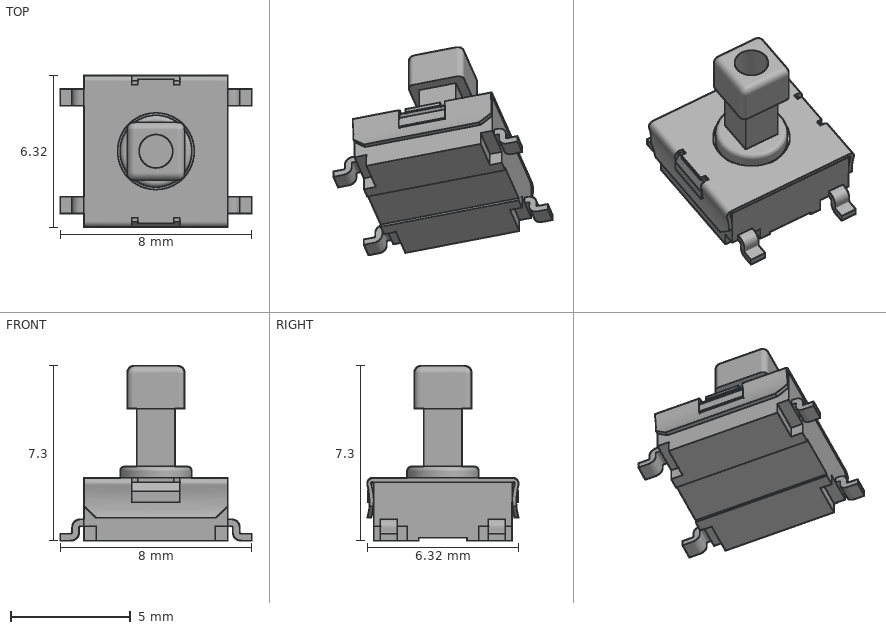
import cadquery as cq
import math


housing_length = 6.0
housing_half_width = 2.89
housing_top = 2.45
corner_notch_length = 0.52
corner_notch_width = 1.4
corner_notch_height = 0.6
channel_width = 2.0
channel_depth = 0.12

tab_width = 2.0
tab_reach = 3.14
tab_bottom = 1.6
tab_slope_start = 2.93
tab_slope_bottom = 2.06

cover_thickness = 0.17
cover_top = housing_top + cover_thickness
cover_hole_diameter = 3.2
bend_radius = 0.24
bend_center_y = 2.922
bend_center_z = cover_top - bend_radius
cover_reach = bend_center_y + bend_radius
waist_y = housing_half_width + cover_thickness
waist_z = 1.65
skirt_bottom = 0.96
skirt_corner_length = 0.5
skirt_corner_height = 0.48
window_start = 2.775
tongue_width = 1.5
tongue_end = 3.0

flange_diameter = 3.0
flange_top = 3.1
flange_fillet = 0.2
stem_width = 1.6
cap_width = 2.4
cap_bottom = 5.51
cap_top = 7.3
cap_side_fillet = 0.25
cap_top_fillet = 0.3
cap_hole_diameter = 1.4

lead_span = 8.0
lead_pitch = 4.5
lead_width = 0.71
lead_thickness = 0.3
lead_inner_radius = 0.05
lead_outer_radius = lead_inner_radius + lead_thickness
lead_riser_outer = 3.5
lead_riser_inner = lead_riser_outer - lead_thickness
lead_bottom = corner_notch_height
lead_top = lead_bottom + lead_thickness


def block(x_size, y_range, z_range):
    """Box centred on X = 0 that spans the given Y and Z ranges."""
    y_low, y_high = y_range
    z_low, z_high = z_range
    return (
        cq.Workplane("XY", origin=(0, (y_low + y_high) / 2, z_low))
        .box(x_size, y_high - y_low, z_high - z_low, centered=(True, True, False))
    )


def both_sides(shape):
    """The shape on the +Y side together with its mirror image on the -Y side."""
    return shape.union(shape.mirror("XZ"))


def extrude_along_x(profile, length):
    """Extrude a YZ profile symmetrically about X = 0."""
    return profile.extrude(length / 2, both=True)


def make_housing():
    body = block(housing_length, (-housing_half_width, housing_half_width), (0, housing_top))

    notches = (
        cq.Workplane("XY")
        .rect(housing_length, 2 * housing_half_width, forConstruction=True)
        .vertices()
        .rect(2 * corner_notch_length, 2 * corner_notch_width)
        .extrude(corner_notch_height)
    )
    channel = block(housing_length, (-channel_width / 2, channel_width / 2), (0, channel_depth))

    tab_profile = (
        cq.Workplane("YZ")
        .moveTo(window_start, housing_top)
        .lineTo(tab_slope_start, housing_top)
        .lineTo(tab_reach, tab_slope_bottom)
        .lineTo(tab_reach, tab_bottom)
        .lineTo(window_start, tab_bottom)
        .close()
    )
    tabs = both_sides(extrude_along_x(tab_profile, tab_width))
    return body.cut(notches).cut(channel).union(tabs)


def make_cover_half():
    """The +Y half of the bent sheet: flat top, bend, then a skirt bowed in to touch the housing."""
    drop = bend_center_z - waist_z
    offset = waist_y - bend_center_y
    bow_radius = (drop**2 + offset**2 - bend_radius**2) / (2 * (bend_radius - offset))
    bow_center_y = waist_y + bow_radius
    tangent_angle = math.asin(drop / (bow_radius + bend_radius))
    bottom_drop = waist_z - skirt_bottom

    def on_bend(radius, angle):
        return (bend_center_y + radius * math.cos(angle), bend_center_z + radius * math.sin(angle))

    def bow_bottom(radius):
        return (bow_center_y - math.sqrt(radius**2 - bottom_drop**2), skirt_bottom)

    bend_middle = (math.pi / 2 - tangent_angle) / 2
    inner_bend_radius = bend_radius - cover_thickness
    inner_bow_radius = bow_radius + cover_thickness

    profile = (
        cq.Workplane("YZ")
        .moveTo(0, cover_top)
        .lineTo(bend_center_y, cover_top)
        .threePointArc(on_bend(bend_radius, bend_middle), on_bend(bend_radius, -tangent_angle))
        .threePointArc((waist_y, waist_z), bow_bottom(bow_radius))
        .lineTo(*bow_bottom(inner_bow_radius))
        .threePointArc((housing_half_width, waist_z), on_bend(inner_bend_radius, -tangent_angle))
        .threePointArc(on_bend(inner_bend_radius, bend_middle), (bend_center_y, housing_top))
        .lineTo(0, housing_top)
        .close()
    )
    half = extrude_along_x(profile, housing_length)

    corner_x = housing_length / 2
    corner = (
        cq.Workplane("XZ")
        .moveTo(corner_x, skirt_bottom)
        .lineTo(corner_x - skirt_corner_length, skirt_bottom)
        .lineTo(corner_x, skirt_bottom + skirt_corner_height)
        .close()
        .extrude(-cover_reach)
    )
    half = half.cut(corner).cut(corner.mirror("YZ"))

    window = block(tab_width, (window_start, cover_reach), (tab_bottom, cover_top))
    tongue = block(tongue_width, (window_start, tongue_end), (housing_top, cover_top))
    return half.cut(window).union(tongue)


def make_cover():
    hole = (
        cq.Workplane("XY", origin=(0, 0, housing_top))
        .circle(cover_hole_diameter / 2)
        .extrude(cover_thickness)
    )
    return both_sides(make_cover_half()).cut(hole)


def make_plunger():
    flange = (
        cq.Workplane("XY", origin=(0, 0, housing_top))
        .circle(flange_diameter / 2)
        .extrude(flange_top - housing_top)
        .faces(">Z")
        .edges()
        .fillet(flange_fillet)
    )
    stem = block(stem_width, (-stem_width / 2, stem_width / 2), (flange_top, cap_bottom))
    cap = (
        block(cap_width, (-cap_width / 2, cap_width / 2), (cap_bottom, cap_top))
        .edges("|Z")
        .fillet(cap_side_fillet)
        .faces(">Z")
        .edges()
        .fillet(cap_top_fillet)
    )
    cap_hole = (
        cq.Workplane("XY", origin=(0, 0, cap_bottom))
        .circle(cap_hole_diameter / 2)
        .extrude(cap_top - cap_bottom)
    )
    return flange.union(stem).union(cap.cut(cap_hole))


def make_lead(side, y_center):
    """Gull-wing lead on the +X (side = 1) or -X (side = -1) wall of the housing."""
    lead = (
        cq.Workplane("XZ", origin=(0, y_center, 0))
        .moveTo(housing_length / 2, lead_bottom)
        .lineTo(housing_length / 2, lead_top)
        .lineTo(lead_riser_outer - lead_outer_radius, lead_top)
        .radiusArc((lead_riser_outer, lead_top - lead_outer_radius), lead_outer_radius)
        .lineTo(lead_riser_outer, lead_outer_radius)
        .radiusArc((lead_riser_outer + lead_inner_radius, lead_thickness), -lead_inner_radius)
        .lineTo(lead_span / 2, lead_thickness)
        .lineTo(lead_span / 2, 0)
        .lineTo(lead_riser_inner + lead_outer_radius, 0)
        .radiusArc((lead_riser_inner, lead_outer_radius), lead_outer_radius)
        .lineTo(lead_riser_inner, lead_bottom - lead_inner_radius)
        .radiusArc((lead_riser_inner - lead_inner_radius, lead_bottom), -lead_inner_radius)
        .close()
        .extrude(lead_width / 2, both=True)
    )
    return lead if side > 0 else lead.mirror("YZ")


housing = make_housing()
cover = make_cover()
plunger = make_plunger()
leads = [make_lead(side, row * lead_pitch / 2) for side in (-1, 1) for row in (-1, 1)]

result = cq.Compound.makeCompound(
    [housing.val(), cover.val(), plunger.val(), *[lead.val() for lead in leads]]
)